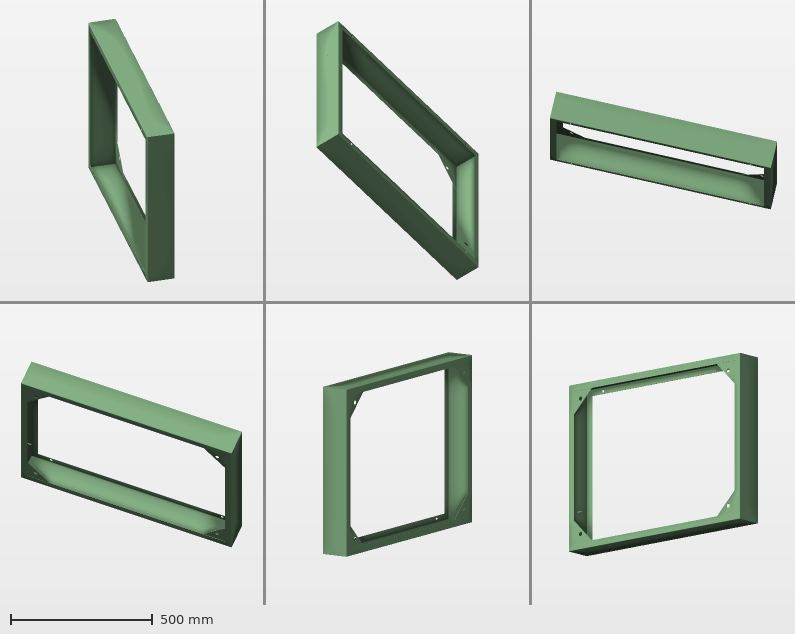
import cadquery as cq

WIDTH = 800.0
DEPTH = 100.0
HEIGHT = 600.0

SHEET = 1.0
INNER_BEND = SHEET
FLANGE_WIDTH = 25.0

GUSSET_SHEET = SHEET
GUSSET_LEG = 129.0
GUSSET_HOLE_DIAMETER = 14.0
GUSSET_HOLE_INSET = 55.0

SCREW_HOLE_DIAMETER = 10.0
SCREW_HOLE_SPACING = 650.0
SCREW_HOLE_INSET = 14.0

STUD_DIAMETER = 5.0
STUD_LENGTH = 18.0
STUD_HOLE_DIAMETER = 2.0
STUD_HEIGHT = 150.0

HALF_WIDTH = WIDTH / 2
HALF_DEPTH = DEPTH / 2
HALF_HEIGHT = HEIGHT / 2
INNER_HALF_WIDTH = HALF_WIDTH - SHEET


def channel(length, half_span):
    """C-section along X, its web on top at Z = half_span and its flanges hanging down."""
    outer = (
        cq.Workplane("XY")
        .box(length, DEPTH, FLANGE_WIDTH, centered=(True, True, False))
        .edges("|X and >Z")
        .fillet(INNER_BEND + SHEET)
    )
    cavity = (
        cq.Workplane("XY")
        .box(length, DEPTH - 2 * SHEET, FLANGE_WIDTH - SHEET, centered=(True, True, False))
        .edges("|X and >Z")
        .fillet(INNER_BEND)
    )
    return outer.cut(cavity).translate((0, 0, half_span - FLANGE_WIDTH))


def mitre_zone():
    """Trapezoid that the top channel fills between the two side webs, cut at 45 degrees."""
    return (
        cq.Workplane("XZ")
        .polyline([
            (-INNER_HALF_WIDTH, HALF_HEIGHT),
            (INNER_HALF_WIDTH, HALF_HEIGHT),
            (INNER_HALF_WIDTH, HALF_HEIGHT - SHEET),
            (HALF_WIDTH - FLANGE_WIDTH, HALF_HEIGHT - FLANGE_WIDTH),
            (FLANGE_WIDTH - HALF_WIDTH, HALF_HEIGHT - FLANGE_WIDTH),
            (-INNER_HALF_WIDTH, HALF_HEIGHT - SHEET),
        ])
        .close()
        .extrude(HALF_DEPTH, both=True)
    )


def half_turn(body):
    """The body turned half a turn about the Y axis."""
    return body.rotate((0, 0, 0), (0, 1, 0), 180)


def top_channel():
    """Top channel with a screw hole near each end of its front flange."""
    screw_holes = (
        cq.Workplane("XZ", origin=(0, -HALF_DEPTH, HALF_HEIGHT - SCREW_HOLE_INSET))
        .pushPoints([(-SCREW_HOLE_SPACING / 2, 0), (SCREW_HOLE_SPACING / 2, 0)])
        .circle(SCREW_HOLE_DIAMETER / 2)
        .extrude(-SHEET)
    )
    return channel(WIDTH, HALF_HEIGHT).intersect(mitre_zone()).cut(screw_holes)


def right_channel():
    """Upright channel whose web runs the full height, with the stud hole in its web."""
    upright = channel(HEIGHT, HALF_WIDTH).rotate((0, 0, 0), (0, 1, 0), 90)
    stud_hole = (
        cq.Workplane("YZ", origin=(INNER_HALF_WIDTH, 0, -STUD_HEIGHT))
        .circle(STUD_HOLE_DIAMETER / 2)
        .extrude(SHEET)
    )
    return upright.cut(mitre_zone()).cut(half_turn(mitre_zone())).cut(stud_hole)


def gusset(side_x, side_z):
    """Triangular plate against the inside of the rear flanges in one corner, clear of the bends."""
    corner_x = side_x * (INNER_HALF_WIDTH - INNER_BEND)
    corner_z = side_z * (HALF_HEIGHT - SHEET - INNER_BEND)
    front_y = HALF_DEPTH - SHEET - GUSSET_SHEET
    plate = (
        cq.Workplane("XZ", origin=(0, front_y, 0))
        .moveTo(corner_x, corner_z)
        .lineTo(corner_x - side_x * GUSSET_LEG, corner_z)
        .lineTo(corner_x, corner_z - side_z * GUSSET_LEG)
        .close()
        .extrude(-GUSSET_SHEET)
    )
    hole_x = side_x * (HALF_WIDTH - GUSSET_HOLE_INSET)
    hole_z = side_z * (HALF_HEIGHT - GUSSET_HOLE_INSET)
    hole = (
        cq.Workplane("XZ", origin=(hole_x, front_y, hole_z))
        .circle(GUSSET_HOLE_DIAMETER / 2)
        .extrude(-GUSSET_SHEET)
    )
    return plate.cut(hole)


def stud():
    """Round pin standing inwards from the web of the right-hand channel."""
    return (
        cq.Workplane("YZ", origin=(INNER_HALF_WIDTH, 0, -STUD_HEIGHT))
        .circle(STUD_DIAMETER / 2)
        .extrude(-STUD_LENGTH)
    )


channels = [top_channel(), half_turn(top_channel()), right_channel(), half_turn(right_channel())]
gussets = [gusset(side_x, side_z) for side_x in (-1, 1) for side_z in (-1, 1)]

result = cq.Compound.makeCompound([body.val() for body in [*channels, *gussets, stud()]])